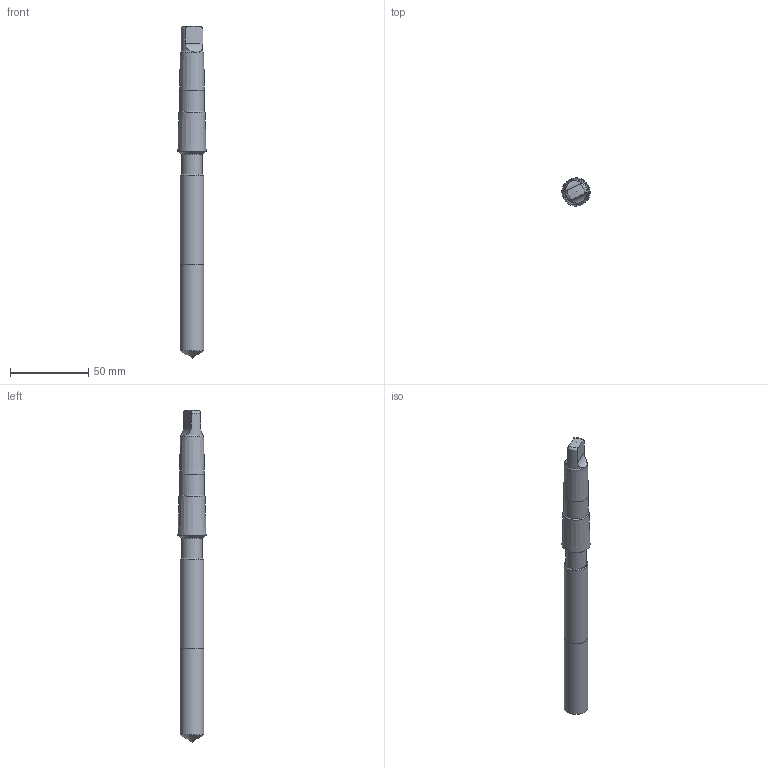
import cadquery as cq
import math

total_length = 212.0
top_z = total_length / 2
tip_z = top_z - total_length

drill_diameter = 15.0
point_angle = 118.0
drill_radius = drill_diameter / 2
point_height = drill_radius / math.tan(math.radians(point_angle / 2))
cutting_length = 59.6
split_z = tip_z + cutting_length
neck_end_depth = 94.6
body_top_z = top_z - neck_end_depth
body_chamfer = 0.6

neck_diameter = 13.4
neck_radius = neck_diameter / 2

taper_rate = 0.04995
shank_diameter = 18.0
shank_length = 80.0
collar_cone_height = 1.8
relief_diameter = 15.5
relief_step_height = 0.5
relief_start_depth = 41.0
relief_end_depth = 55.0
taper_start_depth = 16.7
tang_shoulder_height = 0.7

tang_diameter = 13.8
tang_thickness = 6.5
tang_flat_length = 11.0
tang_runout_radius = 6.0
tang_end_round = 1.6
tang_end_cone_height = 0.5
tang_angle = 24.0
tang_radius = tang_diameter / 2


def taper_radius(depth):
    """Radius of the Morse taper at a depth below the tang end."""
    return (shank_diameter + (depth - shank_length) * taper_rate) / 2


def make_cutting_part():
    """Lower cylinder with the conical drill point."""
    profile = (
        cq.Workplane("XZ")
        .moveTo(0, tip_z)
        .lineTo(drill_radius, tip_z + point_height)
        .lineTo(drill_radius, split_z)
        .lineTo(0, split_z)
        .close()
    )
    return profile.revolve(360, (0, 0), (0, 1))


def make_tang_cutter():
    """Block that mills one tang flat, with a round runout at its lower end."""
    flat_y = tang_thickness / 2
    flat_end_z = top_z - tang_flat_length
    outer_y = flat_y + tang_runout_radius
    return (
        cq.Workplane("YZ")
        .moveTo(flat_y, top_z)
        .lineTo(flat_y, flat_end_z)
        .radiusArc((outer_y, flat_end_z - tang_runout_radius), -tang_runout_radius)
        .lineTo(outer_y, top_z)
        .close()
        .extrude(shank_diameter, both=True)
    )


def make_shank():
    """Upper drill cylinder, neck, relieved Morse taper and rotated tang."""
    relief_radius = relief_diameter / 2
    shank_bottom_z = top_z - shank_length
    tang_edge_z = top_z - tang_end_cone_height
    profile = (
        cq.Workplane("XZ")
        .moveTo(0, split_z)
        .lineTo(drill_radius, split_z)
        .lineTo(drill_radius, body_top_z - body_chamfer)
        .lineTo(drill_radius - body_chamfer, body_top_z)
        .lineTo(neck_radius, body_top_z)
        .lineTo(neck_radius, shank_bottom_z - collar_cone_height)
        .lineTo(taper_radius(shank_length), shank_bottom_z)
        .lineTo(taper_radius(relief_end_depth), top_z - relief_end_depth)
        .lineTo(relief_radius, top_z - relief_end_depth + relief_step_height)
        .lineTo(relief_radius, top_z - relief_start_depth)
        .lineTo(taper_radius(relief_start_depth), top_z - relief_start_depth)
        .lineTo(taper_radius(taper_start_depth), top_z - taper_start_depth)
        .lineTo(tang_radius, top_z - taper_start_depth + tang_shoulder_height)
        .lineTo(tang_radius, tang_edge_z - tang_end_round)
        .radiusArc((tang_radius - tang_end_round, tang_edge_z), -tang_end_round)
        .lineTo(0, top_z)
        .close()
    )
    shank = profile.revolve(360, (0, 0), (0, 1))
    cutter = make_tang_cutter()
    for side_angle in (0, 180):
        shank = shank.cut(cutter.rotate((0, 0, 0), (0, 0, 1), side_angle))
    return shank.rotate((0, 0, 0), (0, 0, 1), tang_angle)


cutting_part = make_cutting_part()
shank = make_shank()

result = cq.Compound.makeCompound([cutting_part.val(), shank.val()])